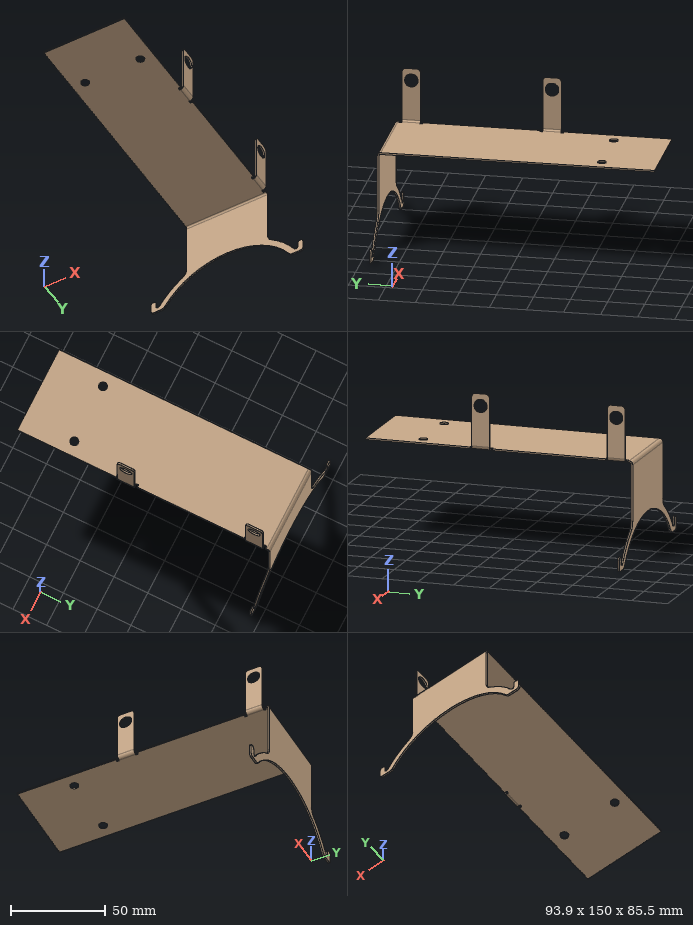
import cadquery as cq
import math

thickness = 1.0
bend_inner = thickness
bend_outer = bend_inner + thickness

length = 150.0
width = 50.0
half_width = width / 2
plate_hole_diameter = 4.5
plate_hole_spacing = 34.0
plate_hole_from_front = 30.0

flange_height = 55.5
half_span = 93.9 / 2
arch_rise = 21.9
arch_radius = 45.6
arm_width = 4.0
neck_radius = 6.0
hook_width = 3.3
hook_height = 8.1
hook_floor = 2.8
hook_tip_radius = 0.49 * hook_width
hook_corner_radius = 1.8
slot_radius = 1.02
arm_end_radius = 3.0

tab_height = 30.0
tab_width = 10.0
tab_first_y = -9.0
tab_pitch = 76.0
tab_corner_radius = 2.0
tab_hole_diameter = 7.0
tab_hole_from_top = 6.8
relief_width = 1.2
relief_depth = 1.5

flange_bottom = -flange_height
arch_center_z = flange_bottom + arch_rise - arch_radius
arm_radius = arch_radius + arm_width
tab_centers = [tab_first_y, tab_first_y - tab_pitch]


def circle_x(radius, z):
    """X of the arch-centred circle at height z."""
    return math.sqrt(radius**2 - (z - arch_center_z) ** 2)


def circle_point(radius, angle):
    return radius * math.sin(angle), arch_center_z + radius * math.cos(angle)


def make_plate():
    """Flat plate, stopping where the flange bend begins."""
    plate = cq.Workplane("XY").box(
        width, length - bend_outer, thickness, centered=(True, False, False)
    ).translate((0, -length, -thickness))
    hole_y = plate_hole_from_front - length
    holes = (
        cq.Workplane("XY")
        .pushPoints([(-plate_hole_spacing / 2, hole_y), (plate_hole_spacing / 2, hole_y)])
        .circle(plate_hole_diameter / 2)
        .extrude(-thickness)
    )
    return plate.cut(holes)


def make_bend(plane, start, run):
    """Quarter bend turning down from the sheet edge, extruded by run and moved to start."""
    diagonal = math.sqrt(0.5)
    return (
        cq.Workplane(plane)
        .moveTo(0, 0)
        .threePointArc(
            (bend_outer * diagonal, bend_outer * (diagonal - 1)), (bend_outer, -bend_outer)
        )
        .lineTo(bend_inner, -bend_outer)
        .threePointArc((bend_inner * diagonal, bend_inner * diagonal - bend_outer), (0, -thickness))
        .close()
        .extrude(run)
        .translate(start)
    )


def make_flange_half():
    """The +X half of the flange, its upper edge meeting the bend."""
    arch_end = (circle_x(arch_radius, flange_bottom), flange_bottom)
    floor_z = flange_bottom + hook_floor
    tip_z = flange_bottom + hook_height
    hook_inner_x = half_span - hook_width
    slot_end = (circle_x(arm_radius, floor_z), floor_z)
    neck_angle = math.asin(half_width / arm_radius)
    neck = circle_point(arm_radius, neck_angle)
    slot_angle = math.asin(slot_end[0] / arm_radius)
    arch_middle = circle_point(arch_radius, math.asin(arch_end[0] / arch_radius) / 2)
    arm_middle = circle_point(arm_radius, (slot_angle + neck_angle) / 2)

    half = (
        cq.Workplane("XZ")
        .moveTo(0, arch_center_z + arch_radius)
        .threePointArc(arch_middle, arch_end)
        .lineTo(half_span, flange_bottom)
        .lineTo(half_span, tip_z)
        .lineTo(hook_inner_x, tip_z)
        .lineTo(hook_inner_x, floor_z)
        .lineTo(*slot_end)
        .threePointArc(arm_middle, neck)
        .lineTo(half_width, -bend_outer)
        .lineTo(0, -bend_outer)
        .close()
        .extrude(thickness)
    )
    corners = [
        (neck, neck_radius),
        (arch_end, arm_end_radius),
        ((half_span, flange_bottom), hook_corner_radius),
        ((half_span, tip_z), hook_tip_radius),
        ((hook_inner_x, tip_z), hook_tip_radius),
        ((hook_inner_x, floor_z), slot_radius),
        (slot_end, slot_radius),
    ]
    for (x, z), radius in corners:
        corner = cq.selectors.NearestToPointSelector((x, -thickness / 2, z))
        half = half.edges("|Y").edges(corner).fillet(radius)
    return half


def make_relief(center_y):
    """Edge notch as wide as a tab plus a relief cut on each side."""
    return cq.Workplane("XY").box(
        relief_depth, tab_width + 2 * relief_width, thickness
    ).translate((half_width - relief_depth / 2, center_y, -thickness / 2))


def make_tab(center_y):
    """Upright tab with its bend and the tongue joining it to the plate."""
    outer_x = half_width + thickness
    bend_x = outer_x - bend_outer
    bend_top_z = bend_outer - thickness
    root_x = half_width - relief_depth
    tongue = cq.Workplane("XY").box(
        bend_x - root_x, tab_width, thickness, centered=(False, True, False)
    ).translate((root_x, center_y, -thickness))
    bend = make_bend("XZ", (0, tab_width / 2, 0), tab_width).mirror("XY")
    bend = bend.translate((bend_x, center_y, -thickness))
    upright_height = tab_height - bend_top_z
    upright = (
        cq.Workplane("XY")
        .box(thickness, tab_width, upright_height, centered=(False, True, False))
        .edges("|X and >Z")
        .fillet(tab_corner_radius)
        .translate((half_width, center_y, bend_top_z))
    )
    hole = (
        cq.Workplane("YZ", origin=(half_width, center_y, tab_height - tab_hole_from_top))
        .circle(tab_hole_diameter / 2)
        .extrude(thickness)
    )
    return tongue.union(bend).union(upright.cut(hole))


flange_half = make_flange_half()
flange = flange_half.union(flange_half.mirror("YZ"))
flange_bend = make_bend("YZ", (-half_width, -bend_outer, 0), width)
result = make_plate().union(flange_bend).union(flange)
for tab_y in tab_centers:
    result = result.cut(make_relief(tab_y)).union(make_tab(tab_y))